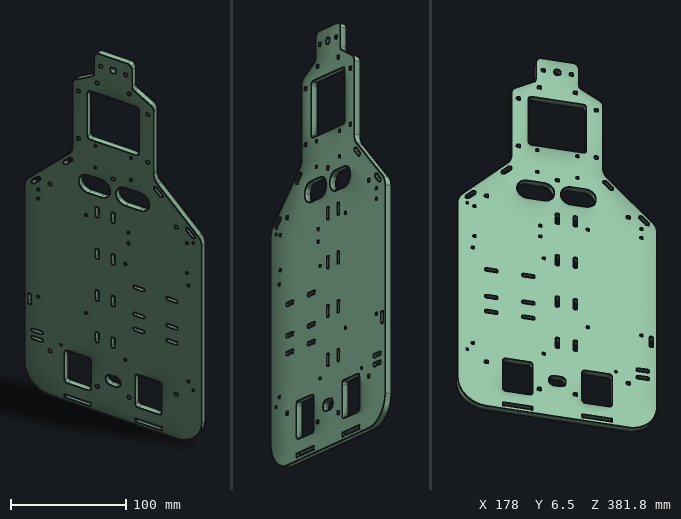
import cadquery as cq
import math

height = 381.8
width = 178.0
thickness = 6.5

neck_width = 81.7
tab_width = 38.0
body_diagonal_deg = 45.0
shoulder_slope_deg = 30.0
neck_bottom_z = 268.0
neck_top_z = 344.0
bottom_corner_radius = 25.5
body_corner_radius = 12.2
neck_base_radius = 13.7
shoulder_radius = 6.0
tab_base_radius = 4.5
tab_corner_radius = 5.0

battery_window_size = 51.5
battery_window_z = 313.0
battery_window_radius = 3.0
wheel_window_width = 26.7
wheel_window_height = 34.7
wheel_window_x = 35.5
wheel_window_z = 36.5
wheel_window_radius = 3.0

edge_slot_length = wheel_window_width
edge_slot_height = 3.5
edge_slot_x = wheel_window_x
edge_slot_z = 5.0

wide_slot_height = 18.7
wide_slot_z = 239.0
left_wide_slot_x = -18.7
left_wide_slot_length = 31.3
right_wide_slot_x = 19.5
right_wide_slot_length = 33.2
rear_slot_length = 15.3
rear_slot_height = 10.3
rear_slot_z = 38.0

slot_length = 11.5
slot_width = 3.5

strap_slot_xs = (-16.0, 0.0)
strap_slot_top_z = 212.3
strap_slot_bottom_z = 79.0
strap_slot_rows = 4
tray_slot_xs = (26.0, 59.0)
tray_slot_zs = (146.2, 117.5, 101.5)
side_slot_x = -84.0
side_slot_z = 95.5
pair_slot_x = -76.5
pair_slot_zs = (63.5, 55.5)
diagonal_slot_points = ((45.5, 256.0), (77.5, 224.0))

tab_hole_diameter = 6.0
tab_hole_z = 369.0
bolt_diameter = 3.5
screw_diameter = 2.5
pin_diameter = 2.0

mirrored_bolt_points = (
    (12.5, tab_hole_z),
    (16.0, 350.0),
    (34.7, 334.8),
    (34.7, 284.0),
    (63.5, 225.2),
    (63.5, 47.5),
    (16.0, 26.7),
)
center_bolt_point = (0.0, 253.5)
mirrored_screw_points = ((18.0, 282.5), (18.0, 259.2))
screw_points = (
    (-75.2, 215.0),
    (-75.2, 205.5),
    (-75.2, 100.8),
    (-27.0, 205.5),
    (-27.0, 100.8),
    (15.3, 202.0),
    (15.3, 190.5),
    (12.2, 167.5),
    (12.2, 65.3),
    (75.5, 167.5),
    (75.5, 65.3),
    (74.0, 212.3),
    (74.0, 180.0),
)
pin_points = ((80.5, 214.5), (80.5, 57.5), (-52.3, 57.5))


def mirrored(points):
    """Return the points together with their mirror images about X = 0."""
    return [(side * x, z) for x, z in points for side in (-1, 1)]


def front_plane():
    """Workplane on the front face, local x along X and local y along Z."""
    return cq.Workplane("XZ")


def make_plate():
    half_width = width / 2
    half_neck = neck_width / 2
    half_tab = tab_width / 2
    body_slope = math.tan(math.radians(body_diagonal_deg))
    shoulder_slope = math.tan(math.radians(shoulder_slope_deg))
    body_top_z = neck_bottom_z - (half_width - half_neck) * body_slope
    tab_base_z = neck_top_z + (half_neck - half_tab) * shoulder_slope

    corners = [
        (half_width, 0.0, bottom_corner_radius),
        (half_width, body_top_z, body_corner_radius),
        (half_neck, neck_bottom_z, neck_base_radius),
        (half_neck, neck_top_z, shoulder_radius),
        (half_tab, tab_base_z, tab_base_radius),
        (half_tab, height, tab_corner_radius),
    ]
    right_side = [(x, z) for x, z, _ in corners]
    left_side = [(-x, z) for x, z in reversed(right_side)]
    plate = front_plane().polyline(right_side + left_side).close().extrude(-thickness)

    for x, z, radius in corners:
        for side in (-1, 1):
            corner_edge = cq.selectors.NearestToPointSelector((side * x, thickness / 2, z))
            plate = plate.edges("|Y").edges(corner_edge).fillet(radius)
    return plate


def round_cutter(points, diameter):
    return front_plane().pushPoints(points).circle(diameter / 2).extrude(-thickness)


def slot_cutter(points, length, breadth, angle=0):
    return front_plane().pushPoints(points).slot2D(length, breadth, angle).extrude(-thickness)


def rectangle_cutter(points, size_x, size_z):
    return front_plane().pushPoints(points).rect(size_x, size_z).extrude(-thickness)


def window_cutter(points, size_x, size_z, radius):
    window = rectangle_cutter(points, size_x, size_z)
    return window.edges("|Y").fillet(radius)


def rectangular_cutters():
    battery_point = [(0, battery_window_z)]
    wheel_points = mirrored([(wheel_window_x, wheel_window_z)])
    edge_slot_points = mirrored([(edge_slot_x, edge_slot_z)])
    return [
        window_cutter(battery_point, battery_window_size, battery_window_size, battery_window_radius),
        window_cutter(wheel_points, wheel_window_width, wheel_window_height, wheel_window_radius),
        rectangle_cutter(edge_slot_points, edge_slot_length, edge_slot_height),
    ]


def large_slot_cutters():
    return [
        slot_cutter([(left_wide_slot_x, wide_slot_z)], left_wide_slot_length, wide_slot_height),
        slot_cutter([(right_wide_slot_x, wide_slot_z)], right_wide_slot_length, wide_slot_height),
        slot_cutter([(0, rear_slot_z)], rear_slot_length, rear_slot_height),
    ]


def small_slot_cutters():
    strap_slot_pitch = (strap_slot_top_z - strap_slot_bottom_z) / (strap_slot_rows - 1)
    strap_zs = [strap_slot_top_z - row * strap_slot_pitch for row in range(strap_slot_rows)]
    upright_points = [(x, z) for x in strap_slot_xs for z in strap_zs]
    upright_points.append((side_slot_x, side_slot_z))
    level_points = [(x, z) for x in tray_slot_xs for z in tray_slot_zs]
    level_points += [(pair_slot_x, z) for z in pair_slot_zs]

    left_diagonal_points = [(-x, z) for x, z in diagonal_slot_points]
    return [
        slot_cutter(upright_points, slot_length, slot_width, 90),
        slot_cutter(level_points, slot_length, slot_width),
        slot_cutter(diagonal_slot_points, slot_length, slot_width, -body_diagonal_deg),
        slot_cutter(left_diagonal_points, slot_length, slot_width, body_diagonal_deg),
    ]


def hole_cutters():
    bolt_points = mirrored(mirrored_bolt_points) + [center_bolt_point]
    all_screw_points = mirrored(mirrored_screw_points) + list(screw_points)
    return [
        round_cutter([(0, tab_hole_z)], tab_hole_diameter),
        round_cutter(bolt_points, bolt_diameter),
        round_cutter(all_screw_points, screw_diameter),
        round_cutter(pin_points, pin_diameter),
    ]


result = make_plate()
for cutter in rectangular_cutters() + large_slot_cutters() + small_slot_cutters() + hole_cutters():
    result = result.cut(cutter)